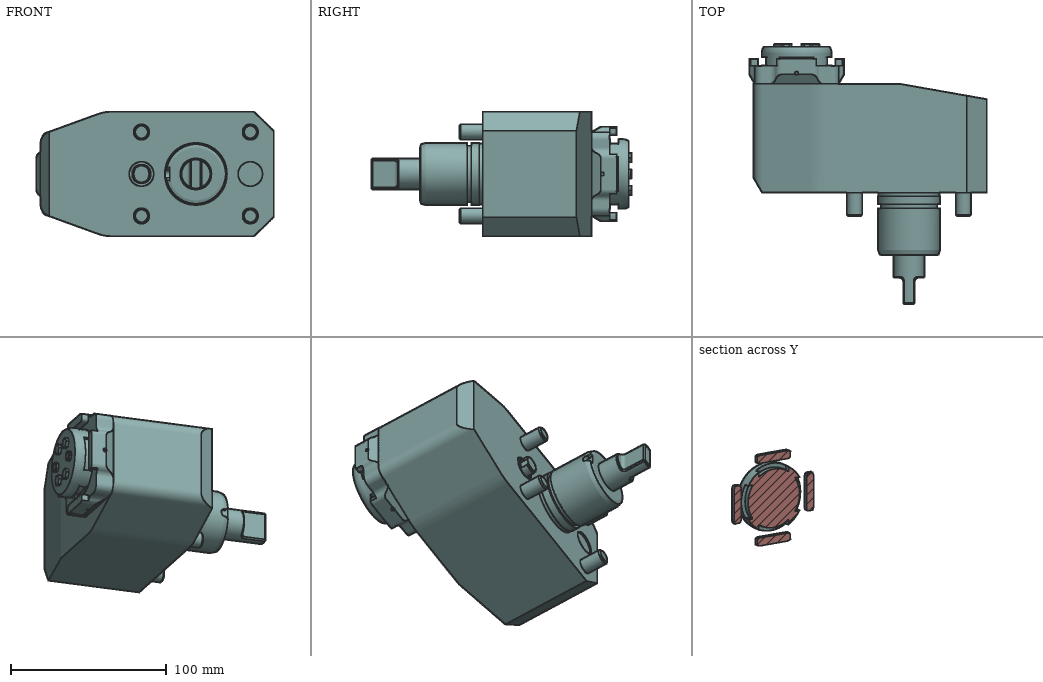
import cadquery as cq
import math


HOUSING_HEIGHT = 80.0
HOUSING_DEPTH = 69.9
HOUSING_LEFT = -99.8
HOUSING_RIGHT = 50.0
RIGHT_BEVEL_X = 12.7
RIGHT_BEVEL_Z = 12.4
SIDE_TAPER_ANGLE = 20
SIDE_TAPER_START = -58.7
SHOULDER_RADIUS = 24.0
LEFT_CORNER_RADIUS = 8.0
BACK_TAPER_START = -5.5
BACK_TAPER_ANGLE = 10
FRONT_BEVEL_DEPTH = 9.7
FRONT_BEVEL_ANGLE = 30

PIN_X = 35.0
PIN_Z = 26.9
PIN_DIAMETER = 10
PIN_LENGTH = 15
PIN_CHAMFER = 1.0
LOCATOR_DIAMETER = 12.0
LOCATOR_LENGTH = 5.5
LOCATOR_CHAMFER_LENGTH = 1.0
LOCATOR_CHAMFER_WIDTH = 0.7
LOCATOR_RIDGE_X = 5
LOCATOR_FACET_Z = 4.5
RECESS_DIAMETER = 15.7
RECESS_DEPTH = 1.0

NOSE_ROOT_DIAMETER = 39.5
NOSE_ROOT_LENGTH = 2.2
NOSE_DIAMETER = 40.0
GROOVE_DIAMETER = 36.5
GROOVE_START = 7.4
GROOVE_END = 10
NOSE_TAPER_START = 36.8
NOSE_TAPER_END = 39.8
NOSE_TAPER_DIAMETER = 38.1
NOSE_LENGTH = 40.3
NOSE_FACE_DIAMETER = 34.0
NOTCH_FLOOR_X = -16.9
NOTCH_RADIUS = 2.5
NOTCH_CENTER = 37.3
NOTCH_FLARE_START = 38.1
NOTCH_FLARE_HALF_WIDTH = 4.3

SHAFT_DIAMETER = 20
SHAFT_TIP = 71.5
TANG_START = 54.7
TANG_THICKNESS = 7.5
TANG_FILLET = 2.3
TANG_CHAMFER = 0.8

MOTOR_X = -72.0
FLANGE_HALF_WIDTH = 26.9
FLANGE_CORNER_RADIUS = 4.8
FLANGE_THICKNESS = 11.5
PAD_REACH = 30.5
PAD_FLAT_HALF_WIDTH = 9.9
PAD_FOOT_HALF_WIDTH = 17.0
PAD_BEVEL_HEIGHT = 6.0
LUG_HALF_WIDTH = 12.7
LUG_INNER_REACH = 24.7
LUG_CORNER_RADIUS = 2.0
LUG_HEIGHT = 4.5
PAD_HOLE_DIAMETER = 2.2
PAD_HOLE_DEPTH = 1.7
PAD_HOLE_HEIGHT = 6.9

CAP_DIAMETER = 45.0
CAP_TOP_DIAMETER = 42.3
CAP_SLOT_START = 12.0
CAP_SLOT_END = 17.2
CAP_ROUND_START = 19.9
CAP_END = 23.9
NECK_DIAMETER = 39.5
CAP_SLOT_WIDTH = 22.2
HEAD_HEIGHT = 1.8
SCREW_X = 6.5
SCREW_Z = 10.5
SCREW_ACROSS_CORNERS = 7.0
DOWEL_X = 11.5
DOWEL_DIAMETER = 6.4
DOWEL_CHAMFER = 0.5


def outline_at(y, x=0):
    """Sketch plane parallel to XZ; positive extrusion runs toward -Y."""
    return cq.Workplane("XZ", origin=(x, y, 0))


def revolve_about_y(profile):
    """Solid of revolution from a closed (radius, y) wire on the XY plane."""
    return profile.revolve(360, (0, 0, 0), (0, 1, 0))


def housing():
    top = HOUSING_HEIGHT / 2
    left_z = top - (SIDE_TAPER_START - HOUSING_LEFT) * math.tan(math.radians(SIDE_TAPER_ANGLE))
    bevel_x = HOUSING_RIGHT - RIGHT_BEVEL_X
    bevel_z = top - RIGHT_BEVEL_Z
    upper = [
        (HOUSING_LEFT, left_z),
        (SIDE_TAPER_START, top),
        (bevel_x, top),
        (HOUSING_RIGHT, bevel_z),
    ]
    lower = [(x, -z) for x, z in reversed(upper)]
    body = outline_at(0).polyline(upper + lower).close().extrude(-HOUSING_DEPTH)

    body = body.edges("|Y").edges(">Z or <Z").edges("<X").fillet(SHOULDER_RADIUS)
    body = body.edges("|Y").edges("<X").fillet(LEFT_CORNER_RADIUS)

    back_drop = (HOUSING_RIGHT - BACK_TAPER_START) * math.tan(math.radians(BACK_TAPER_ANGLE))
    back_wedge = [
        (BACK_TAPER_START, HOUSING_DEPTH),
        (HOUSING_RIGHT, HOUSING_DEPTH),
        (HOUSING_RIGHT, HOUSING_DEPTH - back_drop),
    ]
    front_run = FRONT_BEVEL_DEPTH * math.tan(math.radians(FRONT_BEVEL_ANGLE))
    front_wedge = [
        (HOUSING_LEFT, 0),
        (HOUSING_LEFT + front_run, 0),
        (HOUSING_LEFT, FRONT_BEVEL_DEPTH),
    ]
    for wedge in (back_wedge, front_wedge):
        body = body.cut(cq.Workplane("XY").polyline(wedge).close().extrude(top, both=True))
    return body


def mounting_pins():
    centers = [(x, z) for x in (-PIN_X, PIN_X) for z in (-PIN_Z, PIN_Z)]
    pins = outline_at(0).pushPoints(centers).circle(PIN_DIAMETER / 2).extrude(PIN_LENGTH)
    return pins.faces("<Y").chamfer(PIN_CHAMFER)


def locator_recesses():
    centers = [(-PIN_X, 0), (PIN_X, 0)]
    return outline_at(0).pushPoints(centers).circle(RECESS_DIAMETER / 2).extrude(-RECESS_DEPTH)


def diamond_locator():
    """Round locating pin relieved on each side by two facets that meet in a ridge."""
    radius = LOCATOR_DIAMETER / 2
    pin = outline_at(0, -PIN_X).circle(radius).extrude(LOCATOR_LENGTH)
    pin = pin.faces("<Y").chamfer(LOCATOR_CHAMFER_LENGTH, LOCATOR_CHAMFER_WIDTH)
    facet_x = math.sqrt(radius**2 - LOCATOR_FACET_Z**2)
    peak_z = LOCATOR_FACET_Z * LOCATOR_RIDGE_X / (LOCATOR_RIDGE_X - facet_x)
    diamond = [(-LOCATOR_RIDGE_X, 0), (0, peak_z), (LOCATOR_RIDGE_X, 0), (0, -peak_z)]
    pin = pin.intersect(outline_at(0, -PIN_X).polyline(diamond).close().extrude(LOCATOR_LENGTH))
    base = outline_at(0, -PIN_X).circle(radius).extrude(-RECESS_DEPTH)
    return pin.union(base)


def spindle_nose():
    profile = [
        (0, 0),
        (NOSE_ROOT_DIAMETER / 2, 0),
        (NOSE_ROOT_DIAMETER / 2, -NOSE_ROOT_LENGTH),
        (NOSE_DIAMETER / 2, -NOSE_ROOT_LENGTH),
        (NOSE_DIAMETER / 2, -GROOVE_START),
        (GROOVE_DIAMETER / 2, -GROOVE_START),
        (GROOVE_DIAMETER / 2, -GROOVE_END),
        (NOSE_DIAMETER / 2, -GROOVE_END),
        (NOSE_DIAMETER / 2, -NOSE_TAPER_START),
        (NOSE_TAPER_DIAMETER / 2, -NOSE_TAPER_END),
        (NOSE_FACE_DIAMETER / 2, -NOSE_LENGTH),
        (0, -NOSE_LENGTH),
    ]
    nose = revolve_about_y(cq.Workplane("XY").polyline(profile).close())

    notch = (
        cq.Workplane("YZ", origin=(NOTCH_FLOOR_X, 0, 0))
        .moveTo(-NOTCH_CENTER, NOTCH_RADIUS)
        .threePointArc((-NOTCH_CENTER + NOTCH_RADIUS, 0), (-NOTCH_CENTER, -NOTCH_RADIUS))
        .lineTo(-NOTCH_FLARE_START, -NOTCH_RADIUS)
        .lineTo(-NOSE_LENGTH, -NOTCH_FLARE_HALF_WIDTH)
        .lineTo(-NOSE_LENGTH, NOTCH_FLARE_HALF_WIDTH)
        .lineTo(-NOTCH_FLARE_START, NOTCH_RADIUS)
        .close()
        .extrude(-NOSE_DIAMETER / 2)
    )
    return nose.cut(notch)


def drive_shaft():
    radius = SHAFT_DIAMETER / 2
    shaft = outline_at(0).circle(radius).extrude(SHAFT_TIP)
    half = TANG_THICKNESS / 2
    for side in (-1, 1):
        relief = (
            cq.Workplane("XY")
            .moveTo(side * half, -SHAFT_TIP)
            .lineTo(side * half, -TANG_START - TANG_FILLET)
            .radiusArc((side * (half + TANG_FILLET), -TANG_START), side * TANG_FILLET)
            .lineTo(side * radius, -TANG_START)
            .lineTo(side * radius, -SHAFT_TIP)
            .close()
            .extrude(radius, both=True)
        )
        shaft = shaft.cut(relief)
    margin = TANG_CHAMFER / 2
    low_corner = (-radius, -SHAFT_TIP - margin, -radius)
    above_tip_corner = (-radius, -SHAFT_TIP + margin, -radius)
    high_corner = (radius, -TANG_START + margin, radius)
    tang_edges = cq.selectors.BoxSelector(low_corner, high_corner)
    edges_above_tip = cq.selectors.BoxSelector(above_tip_corner, high_corner)
    inner_lines = edges_above_tip & cq.selectors.ParallelDirSelector(cq.Vector(0, 0, 1))
    return shaft.edges(tang_edges - inner_lines).chamfer(TANG_CHAMFER)


def flange_pad():
    """Pad on the +Z side: flat outer face, S-curved flanks and a lug rising from its outer edge."""
    half_run = (PAD_FOOT_HALF_WIDTH - PAD_FLAT_HALF_WIDTH) / 2
    half_rise = (PAD_REACH - FLANGE_HALF_WIDTH) / 2
    flank_radius = (half_run**2 + half_rise**2) / (2 * half_rise)
    middle_x = PAD_FOOT_HALF_WIDTH - half_run
    middle_z = FLANGE_HALF_WIDTH + half_rise
    height = FLANGE_THICKNESS + LUG_HEIGHT
    pad = (
        outline_at(HOUSING_DEPTH)
        .moveTo(-PAD_FOOT_HALF_WIDTH, 0)
        .lineTo(-PAD_FOOT_HALF_WIDTH, FLANGE_HALF_WIDTH)
        .radiusArc((-middle_x, middle_z), -flank_radius)
        .radiusArc((-PAD_FLAT_HALF_WIDTH, PAD_REACH), flank_radius)
        .lineTo(PAD_FLAT_HALF_WIDTH, PAD_REACH)
        .radiusArc((middle_x, middle_z), flank_radius)
        .radiusArc((PAD_FOOT_HALF_WIDTH, FLANGE_HALF_WIDTH), -flank_radius)
        .lineTo(PAD_FOOT_HALF_WIDTH, 0)
        .close()
        .extrude(-height)
    )
    lug_depth = PAD_REACH - LUG_INNER_REACH
    lug = (
        outline_at(HOUSING_DEPTH + FLANGE_THICKNESS)
        .center(0, LUG_INNER_REACH + lug_depth / 2)
        .rect(2 * LUG_HALF_WIDTH, lug_depth)
        .extrude(-LUG_HEIGHT)
        .edges("|Y and <Z")
        .fillet(LUG_CORNER_RADIUS)
    )
    base = (
        outline_at(HOUSING_DEPTH)
        .rect(2 * PAD_FOOT_HALF_WIDTH, 2 * PAD_REACH)
        .extrude(-FLANGE_THICKNESS)
    )
    pad = pad.intersect(base.union(lug))

    bevel = [
        (HOUSING_DEPTH, FLANGE_HALF_WIDTH),
        (HOUSING_DEPTH + PAD_BEVEL_HEIGHT, PAD_REACH),
        (HOUSING_DEPTH, PAD_REACH),
    ]
    pad = pad.cut(cq.Workplane("YZ").polyline(bevel).close().extrude(PAD_FOOT_HALF_WIDTH, both=True))
    hole = (
        cq.Workplane("XY", origin=(0, HOUSING_DEPTH + PAD_HOLE_HEIGHT, PAD_REACH))
        .circle(PAD_HOLE_DIAMETER / 2)
        .extrude(-PAD_HOLE_DEPTH)
    )
    return pad.cut(hole)


def motor_flange():
    flange = (
        outline_at(HOUSING_DEPTH)
        .rect(2 * FLANGE_HALF_WIDTH, 2 * FLANGE_HALF_WIDTH)
        .extrude(-FLANGE_THICKNESS)
        .edges("|Y")
        .fillet(FLANGE_CORNER_RADIUS)
    )
    pad = flange_pad()
    for quarter in range(4):
        flange = flange.union(pad.rotate((0, 0, 0), (0, 1, 0), 90 * quarter))
    return flange


def motor_cap():
    cap_radius = CAP_DIAMETER / 2
    cap = revolve_about_y(
        cq.Workplane("XY")
        .moveTo(0, HOUSING_DEPTH)
        .lineTo(cap_radius, HOUSING_DEPTH)
        .lineTo(cap_radius, HOUSING_DEPTH + CAP_ROUND_START)
        .tangentArcPoint((CAP_TOP_DIAMETER / 2, HOUSING_DEPTH + CAP_END), relative=False)
        .lineTo(0, HOUSING_DEPTH + CAP_END)
        .close()
    )
    slot_height = CAP_SLOT_END - CAP_SLOT_START
    slot_plane = outline_at(HOUSING_DEPTH + CAP_SLOT_START)
    neck = slot_plane.circle(NECK_DIAMETER / 2).extrude(-slot_height)
    for length_x, length_z in ((CAP_SLOT_WIDTH, CAP_DIAMETER), (CAP_DIAMETER, CAP_SLOT_WIDTH)):
        cap = cap.cut(slot_plane.rect(length_x, length_z).extrude(-slot_height).cut(neck))

    cap_face = outline_at(HOUSING_DEPTH + CAP_END)
    screw_centers = [(x, z) for x in (-SCREW_X, SCREW_X) for z in (-SCREW_Z, SCREW_Z)]
    screws = cap_face.pushPoints(screw_centers).polygon(6, SCREW_ACROSS_CORNERS).extrude(-HEAD_HEIGHT)
    dowels = (
        cap_face.pushPoints([(-DOWEL_X, 0), (DOWEL_X, 0)])
        .circle(DOWEL_DIAMETER / 2)
        .extrude(-HEAD_HEIGHT)
        .faces(">Y")
        .chamfer(DOWEL_CHAMFER)
    )
    return cap.union(screws).union(dowels)


motor_end = motor_flange().union(motor_cap()).translate((MOTOR_X, 0, 0))

result = (
    housing()
    .cut(locator_recesses())
    .union(mounting_pins())
    .union(diamond_locator())
    .union(spindle_nose())
    .union(drive_shaft())
    .union(motor_end)
)